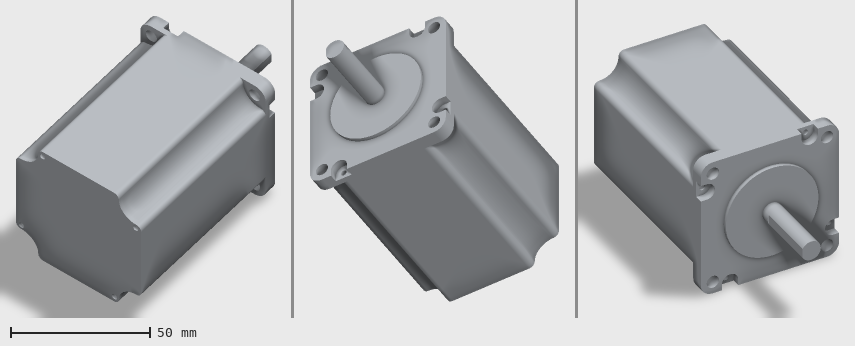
import cadquery as cq
import math

overall_length = 108.0
body_width = 57.0
shaft_length = 30.0
shaft_diameter = 8.0
flat_offset = 3.5
flat_length = 24.6
pilot_diameter = 38.1
pilot_height = 1.6
flange_thickness = 5.5
flange_corner_radius = 5.0
mount_hole_diameter = 5.1
mount_hole_offset = 23.5
cove_radius = 7.9
cove_lip_radius = 2.3
screw_hole_diameter = 2.4
screw_hole_inset = 2.5
screw_hole_side_offset = 16.4
screw_recess_width = 6.7
screw_recess_depth = 3.3

half_width = body_width / 2
body_length = overall_length - shaft_length
cove_center = half_width - cove_lip_radius
lip_start = cove_center - cove_radius - cove_lip_radius


def section(y):
    """Workplane at height y along the axis, extruding toward -Y, with local axes X and Z."""
    return cq.Workplane("XZ", origin=(0, y, 0))


def rotated_copies(solid):
    """Four copies of a solid, spaced a quarter turn apart about the motor axis."""
    return [solid.rotate((0, 0, 0), (0, 1, 0), 90 * turn) for turn in range(4)]


def corner_cove():
    """Concave channel along one corner, flared at both sides by rounded lips."""
    length = body_length - flange_thickness
    diagonal = math.sqrt(0.5)
    lip_middle = lip_start + cove_lip_radius * diagonal
    lip_height = half_width - cove_lip_radius * (1 - diagonal)
    cove_edge = cove_center - cove_radius
    cove_middle = cove_center - cove_radius * diagonal
    return (
        section(-flange_thickness)
        .moveTo(lip_start, half_width)
        .threePointArc((lip_middle, lip_height), (cove_edge, cove_center))
        .threePointArc((cove_middle, cove_middle), (cove_center, cove_edge))
        .threePointArc((lip_height, lip_middle), (half_width, lip_start))
        .lineTo(half_width, half_width)
        .close()
        .extrude(length)
    )


def mount_hole():
    """Through hole in one flange ear."""
    return (
        section(0)
        .center(mount_hole_offset, mount_hole_offset)
        .circle(mount_hole_diameter / 2)
        .extrude(flange_thickness)
    )


def screw_hole():
    """Full-length screw hole with a round-bottomed head recess open to the side."""
    hole_z = half_width - screw_hole_inset
    place = section(0).center(-screw_hole_side_offset, hole_z)
    hole = place.circle(screw_hole_diameter / 2).extrude(body_length)
    seat = place.circle(screw_recess_width / 2).extrude(screw_recess_depth)
    opening = (
        place.center(0, screw_hole_inset / 2)
        .rect(screw_recess_width, screw_hole_inset)
        .extrude(screw_recess_depth)
    )
    return hole.union(seat).union(opening)


def shaft():
    """Output shaft with a flat on its +X side, running back from the tip."""
    flat_depth = shaft_diameter / 2 - flat_offset
    flat = (
        section(shaft_length)
        .center(flat_offset + flat_depth / 2, 0)
        .rect(flat_depth, shaft_diameter)
        .extrude(flat_length)
    )
    return section(shaft_length).circle(shaft_diameter / 2).extrude(shaft_length).cut(flat)


result = (
    section(0)
    .rect(body_width, body_width)
    .extrude(body_length)
    .edges("|Y")
    .fillet(flange_corner_radius)
)
for feature in (corner_cove(), mount_hole(), screw_hole()):
    for cutter in rotated_copies(feature):
        result = result.cut(cutter)

pilot = section(pilot_height).circle(pilot_diameter / 2).extrude(pilot_height)
result = result.union(pilot).union(shaft())